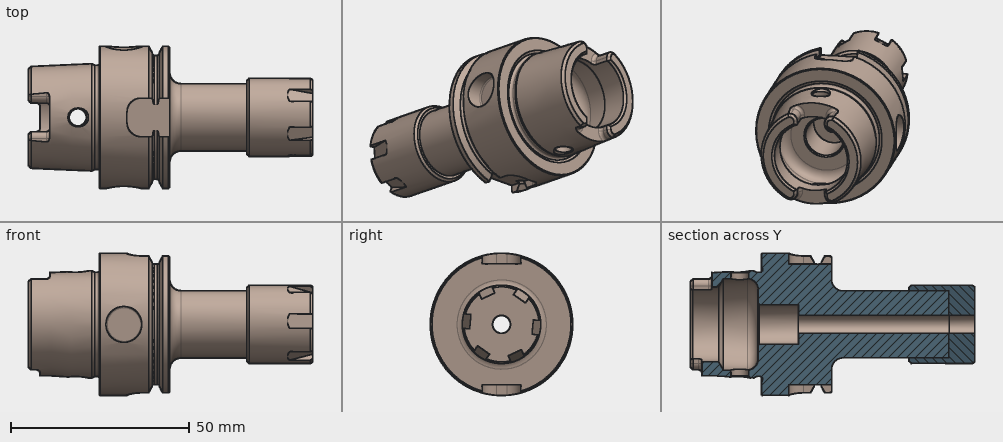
import cadquery as cq
import math


total_length = 79.9
flange_start = 20.0
flange_end = 39.8
nut_start = 61.4
spigot_end = 72.7

taper_end_x = 17.8
taper_tip_radius = 14.3
taper_end_radius = 15.1
tip_chamfer = 0.8

undercut_start = 18.6
undercut_radius = 14.7
undercut_depth = 0.3
undercut_fillet = 0.8
undercut_outer_radius = 16.3

flange_diameter = 40.0
flange_radius = flange_diameter / 2
flange_front_chamfer = 0.2
flange_back_chamfer = 0.5
groove_center_x = 35.8
groove_mouth_half = 2.0
groove_floor_half = 0.95
groove_floor_radius = 17.4
groove_corner_fillet = 0.55
groove_wall_angle = 30.0

neck_radius = 9.5
neck_fillet = 3.0

mouth_chamfer = 0.6
mouth_radius = 10.5
mouth_end = 8.0
clamp_groove_radius = 12.8
clamp_cone_angle = 60.0
floor_x = 19.0
floor_fillet = 3.0
tube_hole_radius = 5.5
tube_hole_chamfer = 0.4
tube_hole_end = 30.4
through_hole_radius = 2.5

notch_half_width = 4.0
notch_edge_radius = 1.9
notch_ledge_height = 12.8
notch_end_fillet = 0.95
top_notch_depth = 6.1
bottom_notch_depth = 3.3
notch_reach = 9.6

cross_hole_x = 13.9
cross_hole_radius = 2.4
cross_hole_chamfer = 0.5

slot_start = 27.7
slot_half_width = 5.4
slot_corner_radius = 4.0
slot_floor_height = 17.0

side_pocket_x = 26.85
side_pocket_radius = 5.0
side_pocket_floor = 15.1
side_pocket_fillet = 0.3
back_pocket_lift = 1.6

nut_radius = 11.0
nut_back_chamfer = 0.7
nut_front_chamfer_length = 0.6
nut_front_chamfer_depth = 0.5
wrench_slot_count = 6
wrench_slot_width = 4.1
wrench_slot_start = 72.8
wrench_slot_slope = 17.5
wrench_slot_turn = 5.0

overrun = 4.0


def revolve_profile(profile):
    """Turn a closed (X, radius) profile about the X axis."""
    return profile.close().revolve(360, (0, 0, 0), (1, 0, 0))


def holder_blank():
    """The turned outside of the holder, without the groove."""
    tip_slope = (taper_end_radius - taper_tip_radius) / taper_end_x
    shoulder_radius = taper_tip_radius + tip_slope * tip_chamfer
    face_fillet_start = flange_start + undercut_depth - undercut_fillet
    fillet_mid = undercut_fillet * math.sqrt(0.5)
    neck_mid = neck_fillet * (1 - math.sqrt(0.5))
    profile = (
        cq.Workplane("XY")
        .moveTo(0, 0)
        .lineTo(0, shoulder_radius - tip_chamfer)
        .lineTo(tip_chamfer, shoulder_radius)
        .lineTo(taper_end_x, taper_end_radius)
        .lineTo(undercut_start, undercut_radius)
        .lineTo(face_fillet_start, undercut_radius)
        .threePointArc(
            (face_fillet_start + fillet_mid, undercut_radius + undercut_fillet - fillet_mid),
            (flange_start + undercut_depth, undercut_radius + undercut_fillet),
        )
        .lineTo(flange_start, undercut_outer_radius)
        .lineTo(flange_start, flange_radius - flange_front_chamfer)
        .lineTo(flange_start + flange_front_chamfer, flange_radius)
        .lineTo(flange_end - flange_back_chamfer, flange_radius)
        .lineTo(flange_end, flange_radius - flange_back_chamfer)
        .lineTo(flange_end, neck_radius + neck_fillet)
        .threePointArc(
            (flange_end + neck_mid, neck_radius + neck_mid),
            (flange_end + neck_fillet, neck_radius),
        )
        .lineTo(spigot_end, neck_radius)
        .lineTo(spigot_end, 0)
    )
    return revolve_profile(profile)


def groove_cutter():
    """Ring that cuts the V groove, with a straight-walled, round-cornered floor."""
    wall_slope = 1 / math.tan(math.radians(groove_wall_angle))
    wall_foot = flange_radius - (groove_mouth_half - groove_floor_half) * wall_slope
    mouth_half = groove_mouth_half + overrun / wall_slope
    fillet = groove_corner_fillet
    corner = fillet * (1 - math.sqrt(0.5))
    left = groove_center_x - groove_floor_half
    right = groove_center_x + groove_floor_half
    profile = (
        cq.Workplane("XY")
        .moveTo(groove_center_x - mouth_half, flange_radius + overrun)
        .lineTo(left, wall_foot)
        .lineTo(left, groove_floor_radius + fillet)
        .threePointArc(
            (left + corner, groove_floor_radius + corner),
            (left + fillet, groove_floor_radius),
        )
        .lineTo(right - fillet, groove_floor_radius)
        .threePointArc(
            (right - corner, groove_floor_radius + corner),
            (right, groove_floor_radius + fillet),
        )
        .lineTo(right, wall_foot)
        .lineTo(groove_center_x + mouth_half, flange_radius + overrun)
    )
    return revolve_profile(profile)


def bore_cutter():
    """The stepped bore from the taper end through to the nose."""
    clamp_cone_length = (clamp_groove_radius - mouth_radius) / math.tan(math.radians(clamp_cone_angle))
    fillet_mid = floor_fillet * (1 - math.sqrt(0.5))
    profile = (
        cq.Workplane("XY")
        .moveTo(0, 0)
        .lineTo(0, mouth_radius + mouth_chamfer)
        .lineTo(mouth_chamfer, mouth_radius)
        .lineTo(mouth_end, mouth_radius)
        .lineTo(mouth_end + clamp_cone_length, clamp_groove_radius)
        .lineTo(floor_x - floor_fillet, clamp_groove_radius)
        .threePointArc(
            (floor_x - fillet_mid, clamp_groove_radius - fillet_mid),
            (floor_x, clamp_groove_radius - floor_fillet),
        )
        .lineTo(floor_x, tube_hole_radius + tube_hole_chamfer)
        .lineTo(floor_x + tube_hole_chamfer, tube_hole_radius)
        .lineTo(tube_hole_end, tube_hole_radius)
        .lineTo(tube_hole_end, through_hole_radius)
        .lineTo(total_length, through_hole_radius)
        .lineTo(total_length, 0)
    )
    return revolve_profile(profile)


def notch_profile(growth):
    """Section of a drive notch in Y and Z: a channel that opens through round edges onto two ledges.

    `growth` widens the section evenly, for the chamfer at the mouth.
    """
    half = notch_half_width + growth
    ledge = notch_ledge_height - growth
    radius = notch_edge_radius - growth
    corner = radius * (1 - math.sqrt(0.5))
    reach = notch_reach + growth
    top = taper_end_radius + overrun
    return (
        cq.Workplane("YZ")
        .moveTo(-half, 0)
        .lineTo(half, 0)
        .lineTo(half, ledge - radius)
        .threePointArc((half + corner, ledge - corner), (half + radius, ledge))
        .lineTo(reach, ledge)
        .lineTo(reach, top)
        .lineTo(-reach, top)
        .lineTo(-reach, ledge)
        .lineTo(-half - radius, ledge)
        .threePointArc((-half - corner, ledge - corner), (-half, ledge - radius))
        .close()
    )


def notch_cutter(depth):
    """Cutter for the upper drive notch, with a rounded inner end and a chamfered mouth."""
    channel = notch_profile(0).extrude(depth).faces(">X").edges("not(<Z or >Z)").fillet(notch_end_fillet)
    mouth = notch_profile(tip_chamfer).extrude(tip_chamfer, taper=45)
    return channel.union(mouth)


def cross_hole_cutter():
    """Hole along Z through both taper walls, countersunk at the outside."""
    wall_radius = taper_tip_radius + (taper_end_radius - taper_tip_radius) * cross_hole_x / taper_end_x
    sink_foot = wall_radius - cross_hole_chamfer
    sink_radius = cross_hole_radius + 2 * cross_hole_chamfer
    sink_top = wall_radius + cross_hole_chamfer
    return (
        cq.Workplane("XZ", origin=(cross_hole_x, 0, 0))
        .moveTo(0, -sink_top)
        .lineTo(sink_radius, -sink_top)
        .lineTo(cross_hole_radius, -sink_foot)
        .lineTo(cross_hole_radius, sink_foot)
        .lineTo(sink_radius, sink_top)
        .lineTo(0, sink_top)
        .close()
        .revolve(360, (0, 0, 0), (0, 1, 0))
    )


def drive_slot_cutter():
    """Flat-bottomed slot in the top of the flange, open at its back face."""
    length = flange_end - slot_start
    return (
        cq.Workplane("XY", origin=(slot_start + length / 2, 0, slot_floor_height))
        .rect(length, 2 * slot_half_width)
        .extrude(overrun)
        .edges("|Z and <X")
        .fillet(slot_corner_radius)
    )


def side_pocket_cutter(side, lift):
    """Round blind pocket in the flange, sunk along Y from the given side."""
    depth = flange_radius + overrun - side_pocket_floor
    return (
        cq.Workplane(
            cq.Plane((side_pocket_x, side * side_pocket_floor, lift), xDir=(1, 0, 0), normal=(0, side, 0))
        )
        .circle(side_pocket_radius)
        .extrude(depth)
        .faces("<Y" if side > 0 else ">Y")
        .edges()
        .fillet(side_pocket_fillet)
    )


def make_holder():
    body = holder_blank().cut(groove_cutter()).cut(bore_cutter())
    body = body.cut(notch_cutter(top_notch_depth))
    body = body.cut(notch_cutter(bottom_notch_depth).rotate((0, 0, 0), (1, 0, 0), 180))
    body = body.cut(cross_hole_cutter())
    for turn in (0, 180):
        body = body.cut(drive_slot_cutter().rotate((0, 0, 0), (1, 0, 0), turn))
    body = body.cut(side_pocket_cutter(-1, 0))
    body = body.cut(side_pocket_cutter(1, back_pocket_lift))
    return body.solids()


def wrench_slot_cutter():
    """Slot at the +Z side of the nut, deepening toward the front on a sloped floor."""
    run = total_length + overrun - wrench_slot_start
    drop = run * math.tan(math.radians(wrench_slot_slope))
    return (
        cq.Workplane("XZ")
        .moveTo(wrench_slot_start, nut_radius)
        .lineTo(wrench_slot_start + run, nut_radius - drop)
        .lineTo(wrench_slot_start + run, nut_radius + overrun)
        .lineTo(wrench_slot_start, nut_radius + overrun)
        .close()
        .extrude(wrench_slot_width / 2, both=True)
    )


def make_nut():
    profile = (
        cq.Workplane("XY")
        .moveTo(nut_start, neck_radius)
        .lineTo(nut_start, nut_radius - nut_back_chamfer)
        .lineTo(nut_start + nut_back_chamfer, nut_radius)
        .lineTo(total_length - nut_front_chamfer_length, nut_radius)
        .lineTo(total_length, nut_radius - nut_front_chamfer_depth)
        .lineTo(total_length, through_hole_radius)
        .lineTo(spigot_end, through_hole_radius)
        .lineTo(spigot_end, neck_radius)
    )
    nut = revolve_profile(profile)
    for index in range(wrench_slot_count):
        angle = 90 - wrench_slot_turn + index * 360 / wrench_slot_count
        nut = nut.cut(wrench_slot_cutter().rotate((0, 0, 0), (1, 0, 0), angle))
    return nut.solids()


holder = make_holder()
nut = make_nut()

result = cq.Compound.makeCompound([holder.val(), nut.val()])